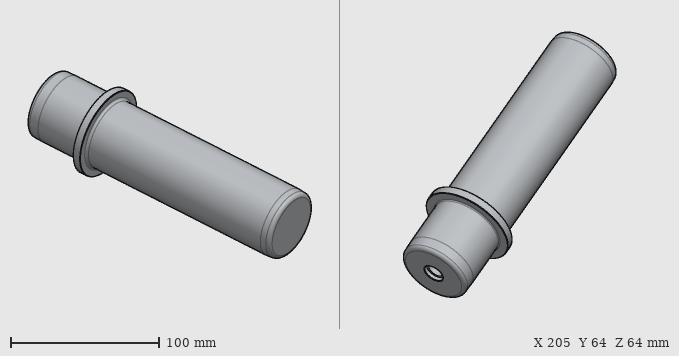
import cadquery as cq
import math

length = 205.0
shaft_radius = 25.0
collar_radius = 32.0
collar_start = 44.7
collar_width = 6.2
collar_edge = 0.5
front_root_fillet = 0.8
rear_root_fillet = 1.8

front_taper_drop = 0.2
rear_taper_drop = 0.5
front_taper_length = 10.0
rear_taper_length = 7.4
front_round = 2.9
rear_round = 3.0

mouth_radius = 7.5
recess_radius = 7.2
recess_depth = 3.0
bore_radius = 5.5
bore_depth = 24.5
drill_point_angle = 120.0

AXIS_START = (0, 0, 0)
AXIS_END = (1, 0, 0)


def revolve_about_x(profile):
    return profile.close().revolve(360, AXIS_START, AXIS_END)


def shaft():
    front_radius = shaft_radius - front_taper_drop
    rear_radius = shaft_radius - rear_taper_drop
    return revolve_about_x(
        cq.Workplane("XY")
        .lineTo(0, front_radius - front_round)
        .radiusArc((front_round, front_radius), front_round)
        .lineTo(front_taper_length, shaft_radius)
        .lineTo(length - rear_taper_length, shaft_radius)
        .lineTo(length - rear_round, rear_radius)
        .radiusArc((length, rear_radius - rear_round), rear_round)
        .lineTo(length, 0)
    )


def collar():
    ring = cq.Workplane("YZ", origin=(collar_start, 0, 0)).circle(collar_radius).extrude(collar_width)
    return ring.faces("<X or >X").edges().chamfer(collar_edge)


def root_fillet(face_x, reach):
    """Concave ring between a collar face and the shaft; the sign of reach sets the side."""
    size = abs(reach)
    bulge = size * (1 - math.sqrt(0.5))
    middle = (face_x + math.copysign(bulge, reach), shaft_radius + bulge)
    return revolve_about_x(
        cq.Workplane("XY")
        .moveTo(face_x, 0)
        .lineTo(face_x, shaft_radius + size)
        .threePointArc(middle, (face_x + reach, shaft_radius))
        .lineTo(face_x + reach, 0)
    )


def centre_hole():
    mouth_depth = mouth_radius - recess_radius
    point_length = bore_radius / math.tan(math.radians(drill_point_angle / 2))
    return revolve_about_x(
        cq.Workplane("XY")
        .lineTo(0, mouth_radius)
        .lineTo(mouth_depth, recess_radius)
        .lineTo(recess_depth, recess_radius)
        .lineTo(recess_depth, bore_radius)
        .lineTo(bore_depth, bore_radius)
        .lineTo(bore_depth + point_length, 0)
    )


result = (
    shaft()
    .union(collar())
    .union(root_fillet(collar_start, -front_root_fillet))
    .union(root_fillet(collar_start + collar_width, rear_root_fillet))
    .cut(centre_hole())
)